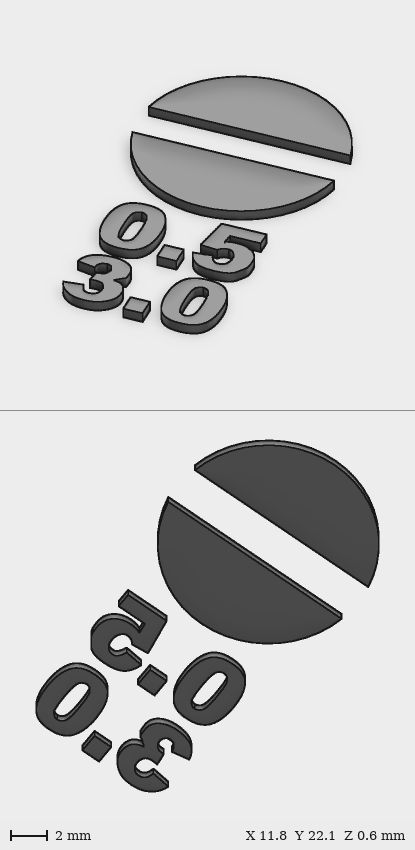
import cadquery as cq

THICKNESS = 0.6

DISC_RADIUS = 6.0
SLOT_WIDTH = 2.4
CHORD_HALF_LENGTH = (DISC_RADIUS**2 - (SLOT_WIDTH / 2) ** 2) ** 0.5

UPPER_BASELINE = -11.0
ROW_PITCH = 5.0
LOWER_BASELINE = UPPER_BASELINE - ROW_PITCH
DIGIT_OFFSET = 2.78
DIGIT_HEIGHT = 4.0
OVERSHOOT = 0.07
ROUND_BOTTOM = -OVERSHOOT
ROUND_TOP = DIGIT_HEIGHT + OVERSHOOT
DIGIT_HALF_WIDTH = 1.64
POINT_WIDTH = 1.13
POINT_HEIGHT = 1.1

COUNTER_HALF_WIDTH = 0.52
COUNTER_HALF_HEIGHT = 1.33
OUTER_KNEE = (0.92, 0.98)
COUNTER_KNEE = (0.18, 0.98)

BOWL_RIGHT = 0.52
BOWL_BOTTOM = 0.62


def smooth_curve(outline, controls, end):
    """Extend the outline to end by tangent parabolas, joined midway between control points."""
    for control, following in zip(controls, controls[1:]):
        joint = ((control[0] + following[0]) / 2, (control[1] + following[1]) / 2)
        outline = outline.bezier([control, joint], includeCurrent=True)
    return outline.bezier([controls[-1], end], includeCurrent=True)


def at_place(x, baseline):
    """Workplane with its origin on the baseline at the figure's centre."""
    return cq.Workplane("XY", origin=(x, baseline, 0))


def disc_segment(side):
    """Part of the disc beyond the slot: side is 1 for the upper part, -1 for the lower."""
    chord_y = side * SLOT_WIDTH / 2
    return (
        cq.Workplane("XY")
        .moveTo(-CHORD_HALF_LENGTH, chord_y)
        .threePointArc((0, side * DISC_RADIUS), (CHORD_HALF_LENGTH, chord_y))
        .close()
        .extrude(THICKNESS)
    )


def add_oval(plane, half_width, half_height, knee):
    """Add a closed oval at mid digit height, made of four mirrored quarters."""
    middle = DIGIT_HEIGHT / 2
    outline = plane.moveTo(-half_width, middle)
    for side in (1, -1):
        top = middle + side * half_height
        shoulder = middle + side * knee[1]
        start_x = -side * half_width
        knee_x = -side * knee[0]
        outline = smooth_curve(outline, [(start_x, shoulder), (knee_x, top)], (0, top))
        outline = smooth_curve(outline, [(-knee_x, top), (-start_x, shoulder)], (-start_x, middle))
    return outline.close()


def digit_zero(x, baseline):
    half_height = ROUND_TOP - DIGIT_HEIGHT / 2
    outlines = add_oval(at_place(x, baseline), DIGIT_HALF_WIDTH, half_height, OUTER_KNEE)
    outlines = add_oval(outlines, COUNTER_HALF_WIDTH, COUNTER_HALF_HEIGHT, COUNTER_KNEE)
    return outlines.extrude(THICKNESS)


def decimal_point(baseline):
    return (
        at_place(0, baseline)
        .center(0, POINT_HEIGHT / 2)
        .rect(POINT_WIDTH, POINT_HEIGHT)
        .extrude(THICKNESS)
    )


def digit_five(x, baseline):
    right = DIGIT_HALF_WIDTH
    flag_right = 1.46
    flag_bottom = 3.14
    stem_top_left = (-1.16, DIGIT_HEIGHT)
    stem_bottom_left = (-1.53, 1.82)
    bowl_top = 2.67
    inner_top = 2.01
    tail_tip = (-1.67, 1.04)

    outline = (
        at_place(x, baseline)
        .moveTo(*stem_top_left)
        .lineTo(flag_right, DIGIT_HEIGHT)
        .lineTo(flag_right, flag_bottom)
        .lineTo(-0.33, flag_bottom)
        .lineTo(-0.41, 2.53)
    )
    outline = smooth_curve(outline, [(-0.14, bowl_top)], (0.26, bowl_top))
    outline = smooth_curve(outline, [(0.89, bowl_top), (right, 2.00)], (right, 1.49))
    outline = smooth_curve(
        outline, [(right, 0.98), (1.46, 0.65), (0.90, ROUND_BOTTOM)], (0, ROUND_BOTTOM)
    )
    outline = smooth_curve(outline, [(-0.76, ROUND_BOTTOM), (-1.49, 0.43)], tail_tip)
    outline = outline.lineTo(-0.57, 1.17)
    outline = smooth_curve(outline, [(-0.36, BOWL_BOTTOM)], (-0.06, BOWL_BOTTOM))
    outline = smooth_curve(outline, [(0.24, BOWL_BOTTOM), (BOWL_RIGHT, 1.00)], (BOWL_RIGHT, 1.35))
    outline = smooth_curve(outline, [(BOWL_RIGHT, 1.62), (0.21, inner_top)], (0.04, inner_top))
    outline = smooth_curve(outline, [(-0.32, inner_top)], (-0.52, 1.73))
    return outline.lineTo(*stem_bottom_left).close().extrude(THICKNESS)


def digit_three(x, baseline):
    upper_right = 1.40
    lower_right = 1.63
    upper_tip = (-1.62, 3.03)
    lower_tip = (-1.70, 1.05)
    waist = (0.82, 2.18)
    upper_inner_top = 3.37
    upper_inner_right = 0.33
    lower_inner_top = 1.78

    outline = at_place(x, baseline).moveTo(*upper_tip).lineTo(-0.57, 2.84)
    outline = smooth_curve(outline, [(-0.54, upper_inner_top)], (-0.04, upper_inner_top))
    outline = smooth_curve(
        outline,
        [(0.12, upper_inner_top), (upper_inner_right, 3.13)],
        (upper_inner_right, 2.95),
    )
    outline = smooth_curve(outline, [(upper_inner_right, 2.80), (0.08, 2.45)], (-0.32, 2.48))
    outline = outline.lineTo(-0.41, 1.75)
    outline = smooth_curve(outline, [(-0.24, lower_inner_top)], (-0.08, lower_inner_top))
    outline = smooth_curve(
        outline, [(0.21, lower_inner_top), (BOWL_RIGHT, 1.48)], (BOWL_RIGHT, 1.21)
    )
    outline = smooth_curve(
        outline, [(BOWL_RIGHT, 0.91), (0.22, BOWL_BOTTOM)], (-0.02, BOWL_BOTTOM)
    )
    outline = smooth_curve(outline, [(-0.46, BOWL_BOTTOM)], (-0.57, 1.20))
    outline = outline.lineTo(*lower_tip)
    outline = smooth_curve(
        outline, [(-1.59, 0.69), (-1.17, 0.23), (-0.51, ROUND_BOTTOM)], (0, ROUND_BOTTOM)
    )
    outline = smooth_curve(
        outline, [(0.54, ROUND_BOTTOM), (1.23, 0.32), (lower_right, 0.88)], (lower_right, 1.30)
    )
    outline = smooth_curve(outline, [(lower_right, 1.58), (1.33, 2.08)], waist)
    outline = smooth_curve(outline, [(1.23, 2.53), (upper_right, 2.53)], (upper_right, 3.08))
    outline = smooth_curve(outline, [(upper_right, 3.53), (0.62, ROUND_TOP)], (0, ROUND_TOP))
    outline = smooth_curve(outline, [(-1.41, ROUND_TOP)], upper_tip)
    return outline.close().extrude(THICKNESS)


segments = [disc_segment(side) for side in (1, -1)]
zero_places = [(-DIGIT_OFFSET, UPPER_BASELINE), (DIGIT_OFFSET, LOWER_BASELINE)]
zeros = [digit_zero(x, baseline) for x, baseline in zero_places]
points = [decimal_point(baseline) for baseline in (UPPER_BASELINE, LOWER_BASELINE)]
five = digit_five(DIGIT_OFFSET, UPPER_BASELINE)
three = digit_three(-DIGIT_OFFSET, LOWER_BASELINE)

bodies = [*segments, *zeros, *points, five, three]
result = cq.Compound.makeCompound([body.val() for body in bodies])